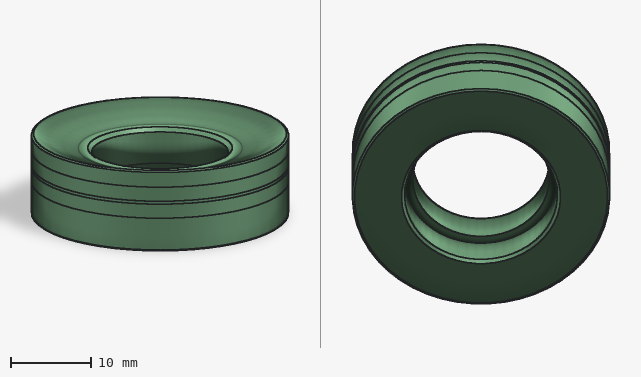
import cadquery as cq

outer_radius = 16.0
total_height = 10.45
bore_radius = 8.48
rim_chamfer_width = 0.25
rim_chamfer_height = 0.2

dish_depth = 1.82
dish_floor_radius = 10.2
dish_bulge = 0.13
bore_chamfer = 0.5

lower_bore_radius = 9.5
spigot_bottom = 4.05
lower_bore_chamfer = 0.4

lower_height = 4.32
ring_height = 1.82
land_height = 0.4
ring_inner_radius = 14.08
ring_bottoms = [lower_height, lower_height + ring_height + land_height]


def make_ring(bottom):
    """Plain ring that fills one groove flush with the outer wall."""
    return (
        cq.Workplane("XY", origin=(0, 0, bottom))
        .circle(outer_radius)
        .circle(ring_inner_radius)
        .extrude(ring_height)
    )


def make_lower_housing():
    """Base ring with a wide bore, chamfered along both bottom edges."""
    profile = (
        cq.Workplane("XZ")
        .moveTo(lower_bore_radius + lower_bore_chamfer, 0)
        .lineTo(outer_radius - rim_chamfer_width, 0)
        .lineTo(outer_radius, rim_chamfer_height)
        .lineTo(outer_radius, lower_height)
        .lineTo(lower_bore_radius, lower_height)
        .lineTo(lower_bore_radius, lower_bore_chamfer)
        .close()
    )
    return profile.revolve(360, (0, 0, 0), (0, 1, 0))


def make_upper_housing():
    """Dished ring with a short spigot below, whose two outer grooves hold the flush rings."""
    floor_z = total_height - dish_depth
    dish_rim_radius = outer_radius - rim_chamfer_width
    dish_middle_radius = (dish_floor_radius + dish_rim_radius) / 2
    dish_middle_z = floor_z + dish_depth / 2 - dish_bulge
    body = (
        cq.Workplane("XZ")
        .moveTo(bore_radius, spigot_bottom)
        .lineTo(lower_bore_radius, spigot_bottom)
        .lineTo(lower_bore_radius, lower_height)
        .lineTo(outer_radius, lower_height)
        .lineTo(outer_radius, total_height - rim_chamfer_height)
        .lineTo(dish_rim_radius, total_height)
        .threePointArc((dish_middle_radius, dish_middle_z), (dish_floor_radius, floor_z))
        .lineTo(bore_radius + bore_chamfer, floor_z)
        .lineTo(bore_radius, floor_z - bore_chamfer)
        .close()
        .revolve(360, (0, 0, 0), (0, 1, 0))
    )
    for bottom in ring_bottoms:
        body = body.cut(make_ring(bottom))
    return body


lower_housing = make_lower_housing()
upper_housing = make_upper_housing()
rings = [make_ring(bottom).val() for bottom in ring_bottoms]

result = cq.Compound.makeCompound([lower_housing.val(), upper_housing.val(), *rings])